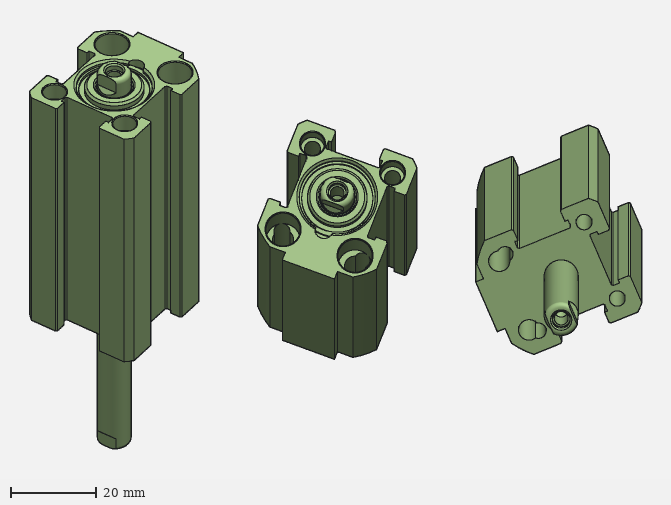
import cadquery as cq
import math


total_length = 113.0
rod_top_stickout = 4.5
housing_length = 68.0
housing_top = -rod_top_stickout
housing_bottom = housing_top - housing_length

body_width = 30.0
body_half = body_width / 2
total_depth = 34.0
corner_radius = 20.0
shoulder_y = 17.1
tab_y = total_depth - body_half
tab_half_width = 6.5

slot_half_opening = 6.0
slot_half_undercut = 6.8
slot_floor_chamfer = 0.3
slot_floor = 10.1
slot_lip = 12.0
slot_edge_chamfer = 0.3

mount_pitch_half = 10.1
mount_diameter = 3.7
mount_counterbore_diameter = 5.6
mount_counterbore_depth = 4.5
hole_rim_chamfer = 0.2

port_x = 9.0
port_y = 12.0
port_diameter = 8.0
port_depth = 9.0
port_bore_diameter = 5.0

recess_diameter = 17.9
recess_rim_diameter = 19.0
recess_depth = 9.0
rim_chamfer = (recess_rim_diameter - recess_diameter) / 2
ring_outer_diameter = 19.0
ring_inner_diameter = 16.7
ring_thickness = 0.7
ring_depth = 1.1
flange_depth = ring_depth + ring_thickness
cover_boss_diameter = 14.0
cover_boss_chamfer = 0.6
seal_diameter = 9.2
seal_seat_chamfer = 0.3
seal_drop = 0.5
seal_lip_diameter = 8.5
seal_height = 2.3
notch_diameter = 4.2
notch_y = 8.7
notch_depth = 2.3

rod_diameter = 8.0
rod_end_fillet = 1.1
flat_distance = 6.0
flat_length = 3.6
thread_hole_diameter = 3.3
thread_hole_depth = 9.0
thread_countersink_diameter = 5.0
thread_mouth_diameter = 4.2
thread_mouth_depth = 1.7
drill_point_angle = 118


def disc(diameter, top, height, x=0, y=0):
    """Upright cylinder that reaches down from the level `top`."""
    return cq.Workplane("XY", origin=(x, y, top - height)).circle(diameter / 2).extrude(height)


def revolved(points):
    """Solid of revolution about the rod axis from (radius, z) points."""
    return cq.Workplane("XZ").polyline(points).close().revolve(360, (0, 0), (0, 1))


def chamfered_hole(diameter, depth, x, y):
    """Cutter for a hole in the housing top with a chamfered rim."""
    radius = diameter / 2
    hole = revolved([
        (0, housing_top),
        (radius + hole_rim_chamfer, housing_top),
        (radius, housing_top - hole_rim_chamfer),
        (radius, housing_top - depth),
        (0, housing_top - depth),
    ])
    return hole.translate((x, y, 0))


def make_retaining_ring():
    """Flat ring that sits in a groove of the recess wall, on top of the cover flange."""
    ring_top = housing_top - ring_depth
    ring = disc(ring_outer_diameter, ring_top, ring_thickness)
    return ring.cut(disc(ring_inner_diameter, ring_top, ring_thickness))


def make_profile():
    """Extruded housing section before slots and holes."""
    def slab(half_width, y_low, y_high):
        return (
            cq.Workplane("XY", origin=(0, (y_low + y_high) / 2, housing_bottom))
            .rect(2 * half_width, y_high - y_low)
            .extrude(housing_length)
        )

    trimmed = slab(body_half, -body_half, shoulder_y).intersect(
        disc(2 * corner_radius, housing_top, housing_length)
    )
    return trimmed.union(slab(tab_half_width, 0, tab_y))


def make_slot(turn):
    """T-slot cutter for the -Y side, turned about the rod axis."""
    half = [
        (slot_half_undercut - slot_floor_chamfer, -slot_floor),
        (slot_half_undercut, -slot_floor - slot_floor_chamfer),
        (slot_half_undercut, -slot_lip),
        (slot_half_opening, -slot_lip),
        (slot_half_opening, -body_half + slot_edge_chamfer),
        (slot_half_opening + slot_edge_chamfer, -body_half),
    ]
    mirrored = [(-x, y) for x, y in reversed(half)]
    return (
        cq.Workplane("XY", origin=(0, 0, housing_bottom))
        .polyline(half + mirrored)
        .close()
        .extrude(housing_length)
        .rotate((0, 0, 0), (0, 0, 1), turn)
    )


def cut_mounting_holes(housing):
    """Four through holes on a square pitch; the two on the -Y side are counterbored."""
    for x in (-mount_pitch_half, mount_pitch_half):
        for y in (-mount_pitch_half, mount_pitch_half):
            housing = housing.cut(disc(mount_diameter, housing_top, housing_length, x, y))
        housing = housing.cut(
            chamfered_hole(mount_counterbore_diameter, mount_counterbore_depth, x, -mount_pitch_half)
        )
    return housing


def cut_ports(housing):
    """Two stepped holes, one on each side of the tab, that overlap the +Y mounting holes."""
    for x in (-port_x, port_x):
        housing = housing.cut(chamfered_hole(port_diameter, port_depth, x, port_y))
        housing = housing.cut(disc(port_bore_diameter, housing_top, housing_length, x, port_y))
    return housing


def cut_head_end(housing):
    """Cover recess with its bevelled rim, pry notch, ring groove and rod bore."""
    recess = revolved([
        (0, housing_top),
        (recess_rim_diameter / 2, housing_top),
        (recess_diameter / 2, housing_top - rim_chamfer),
        (recess_diameter / 2, housing_top - recess_depth),
        (0, housing_top - recess_depth),
    ])
    notch = disc(notch_diameter, housing_top, notch_depth, 0, notch_y)
    rod_bore = disc(rod_diameter, housing_top, housing_length)
    return housing.cut(recess).cut(notch).cut(make_retaining_ring()).cut(rod_bore)


def make_housing():
    """Extruded body with T-slots on three sides and all its holes."""
    housing = make_profile()
    for turn in (0, 90, -90):
        housing = housing.cut(make_slot(turn))
    housing = cut_mounting_holes(housing)
    housing = cut_ports(housing)
    return cut_head_end(housing)


def make_cover():
    """Head cover: a flange that fills the recess, a raised boss and a seat for the seal."""
    boss_radius = cover_boss_diameter / 2
    flange_top = housing_top - flange_depth
    recess_floor = housing_top - recess_depth
    seal_floor = housing_top - seal_drop - seal_height
    return revolved([
        (seal_diameter / 2, housing_top - seal_seat_chamfer),
        (seal_diameter / 2 + seal_seat_chamfer, housing_top),
        (boss_radius - cover_boss_chamfer, housing_top),
        (boss_radius, housing_top - cover_boss_chamfer),
        (boss_radius, flange_top),
        (recess_diameter / 2, flange_top),
        (recess_diameter / 2, recess_floor),
        (rod_diameter / 2, recess_floor),
        (rod_diameter / 2, seal_floor),
        (seal_diameter / 2, seal_floor),
    ])


def make_seal():
    """Wiper around the rod, sunk in the cover boss, with a flared lip."""
    seal_top = housing_top - seal_drop
    seal_floor = seal_top - seal_height
    rod_radius = rod_diameter / 2
    lip_radius = seal_lip_diameter / 2
    return revolved([
        (rod_radius, seal_floor),
        (rod_radius, seal_top - (lip_radius - rod_radius)),
        (lip_radius, seal_top),
        (seal_diameter / 2, seal_top),
        (seal_diameter / 2, seal_floor),
    ])


def make_flat_cutter():
    """Removes both wrench flats, with 45 degree run-outs, from the upper rod end."""
    rod_radius = rod_diameter / 2
    half_flat = flat_distance / 2
    ramp = rod_radius - half_flat
    side = (
        cq.Workplane("YZ")
        .polyline([
            (half_flat, 0),
            (half_flat, -flat_length),
            (rod_radius, -flat_length - ramp),
            (rod_radius, 0),
        ])
        .close()
        .extrude(rod_radius, both=True)
    )
    return side.union(side.mirror("XZ"))


def make_thread_hole():
    """Stepped blind hole with a countersunk mouth and a drill point."""
    radius = thread_hole_diameter / 2
    mouth = thread_mouth_diameter / 2
    rim = thread_countersink_diameter / 2
    point = radius / math.tan(math.radians(drill_point_angle / 2))
    return revolved([
        (0, 0),
        (rim, 0),
        (mouth, mouth - rim),
        (mouth, -thread_mouth_depth),
        (radius, -thread_mouth_depth),
        (radius, -thread_hole_depth),
        (0, -thread_hole_depth - point),
    ])


def make_rod():
    """Through rod with the same wrench flats and threaded hole at both ends."""
    rod = disc(rod_diameter, 0, total_length).faces("<Z or >Z").edges().fillet(rod_end_fillet)
    middle = (0, 0, -total_length / 2)
    upper_cut = make_flat_cutter().union(make_thread_hole())
    lower_cut = upper_cut.mirror("XY", middle)
    return rod.cut(upper_cut).cut(lower_cut)


housing = make_housing()
cover = make_cover()
retaining_ring = make_retaining_ring()
seal = make_seal()
rod = make_rod()

result = cq.Compound.makeCompound(
    [housing.val(), cover.val(), retaining_ring.val(), seal.val(), rod.val()]
)